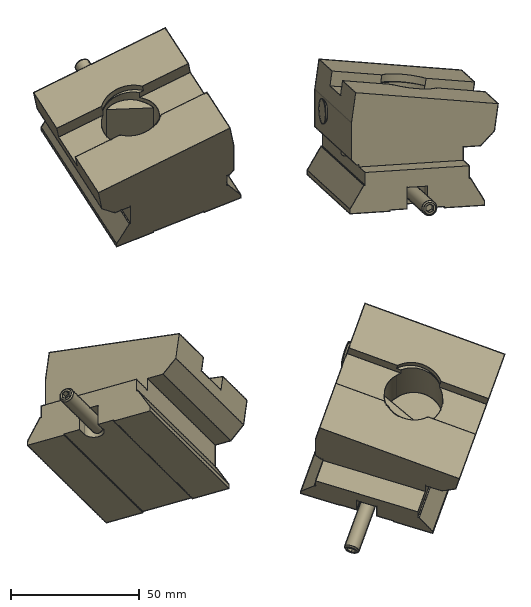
import cadquery as cq
import math


TOTAL_LENGTH = 84.0
RIGHT_END = TOTAL_LENGTH / 2

BASE_LENGTH = 65.1
BASE_WIDTH = 54.1
BASE_HEIGHT = 16.2
NECK_WIDTH = 41.9
FOOT_HEIGHT = 1.85
SHOULDER_HEIGHT = 11.1
SHOULDER_WIDTH = 43.0
RELIEF_WIDTH = 21.8
RELIEF_DEPTH = 0.5
BASE_LEFT = RIGHT_END - BASE_LENGTH

BLOCK_LENGTH = 55.95
BLOCK_CENTER_X = RIGHT_END - BLOCK_LENGTH / 2
PEAK_Y = 22.35
PEAK_Z = 46.0
SLOPE_ANGLE = 8.0
SLOPE = math.radians(SLOPE_ANGLE)
TOP_LENGTH = 57.9
FRONT_FACE_LENGTH = 10.9
FRONT_BEVEL = 5.6
BACK_Y = 24.0
BACK_BOTTOM_Z = 17.05
BACK_CHAMFER = 2.0

GROOVE_WIDTH = 16.0
GROOVE_DEPTH = 6.0
COUNTERBORE_DIAMETER = 24.0
COUNTERBORE_DEPTH = 3.0
COUNTERBORE_SHIFT = 0.25
BORE_DIAMETER = 22.5
BORE_Y = -7.0
BACK_BORE_DIAMETER = 20.0
BACK_BORE_SHIFT = 1.6
SHELF_Z = 34.95
SHELF_ANGLE = 66.0
SHELF_CHORD_OFFSET = 6.7

SCREW_DIAMETER = 6.0
SCREW_Z = 5.0
SCREW_CHAMFER = 0.6
SOCKET_ACROSS_CORNERS = 3.45
SOCKET_DEPTH = 2.5
SOCKET_SIDES = 6
SOCKET_ROTATION = 30.0
NOTCH_WIDTH = 8.15
NOTCH_HEIGHT = 9.15
NOTCH_STRAIGHT = 4.0

BACK_FITTING_OFFSET = 12.4
HEAD_DIAMETER = 10.0
HEAD_Z = 29.0
HEAD_PROTRUSION = 1.2
HEAD_TAPER = 0.8
BALL_RADIUS = 1.5
BALL_PROTRUSION = 0.1

OVERCUT = 4.2


def extrude_along_x(points, x_start, length):
    """Extrude a (Y, Z) outline in +X from x_start."""
    return cq.Workplane("YZ", origin=(x_start, 0, 0)).polyline(points).close().extrude(length)


def dovetail_base():
    half_outline = [
        (RELIEF_WIDTH / 2, RELIEF_DEPTH),
        (RELIEF_WIDTH / 2, 0),
        (BASE_WIDTH / 2, 0),
        (BASE_WIDTH / 2, FOOT_HEIGHT),
        (SHOULDER_WIDTH / 2, SHOULDER_HEIGHT),
        (NECK_WIDTH / 2, SHOULDER_HEIGHT),
        (NECK_WIDTH / 2, BASE_HEIGHT),
    ]
    mirrored = [(-y, z) for y, z in reversed(half_outline)]
    return extrude_along_x(half_outline + mirrored, BASE_LEFT, BASE_LENGTH)


def wedge_block():
    front_top_y = PEAK_Y - TOP_LENGTH * math.cos(SLOPE)
    front_top_z = PEAK_Z - TOP_LENGTH * math.sin(SLOPE)
    front_low_y = front_top_y + FRONT_FACE_LENGTH * math.sin(SLOPE)
    front_low_z = front_top_z - FRONT_FACE_LENGTH * math.cos(SLOPE)
    overhang_z = front_low_z - FRONT_BEVEL
    back_bend_z = PEAK_Z - (BACK_Y - PEAK_Y) / math.tan(SLOPE)
    outline = [
        (PEAK_Y, PEAK_Z),
        (front_top_y, front_top_z),
        (front_low_y, front_low_z),
        (front_low_y + FRONT_BEVEL, overhang_z),
        (-NECK_WIDTH / 2, overhang_z),
        (-NECK_WIDTH / 2, BASE_HEIGHT),
        (NECK_WIDTH / 2, BASE_HEIGHT),
        (NECK_WIDTH / 2, BACK_BOTTOM_Z),
        (BACK_Y - BACK_CHAMFER, BACK_BOTTOM_Z),
        (BACK_Y, BACK_BOTTOM_Z + BACK_CHAMFER),
        (BACK_Y, back_bend_z),
    ]
    return extrude_along_x(outline, RIGHT_END - BLOCK_LENGTH, BLOCK_LENGTH)


def top_plane():
    """Plane on the middle of the sloping top, its normal pointing out of the block."""
    center_y = PEAK_Y - TOP_LENGTH / 2 * math.cos(SLOPE)
    center_z = PEAK_Z - TOP_LENGTH / 2 * math.sin(SLOPE)
    normal = (0, -math.sin(SLOPE), math.cos(SLOPE))
    return cq.Plane(origin=(BLOCK_CENTER_X, center_y, center_z), xDir=(1, 0, 0), normal=normal)


def groove():
    groove_length = TOP_LENGTH + 2 * OVERCUT
    return cq.Workplane(top_plane()).rect(GROOVE_WIDTH, groove_length).extrude(-GROOVE_DEPTH)


def counterbore():
    plane = cq.Workplane(top_plane()).center(0, -COUNTERBORE_SHIFT)
    return plane.circle(COUNTERBORE_DIAMETER / 2).extrude(-COUNTERBORE_DEPTH)


def bore():
    """Vertical bore down to the base, widened at the back by a smaller overlapping bore.

    A raised shelf with a straight edge is left standing on one side.
    """
    depth = PEAK_Z - BASE_HEIGHT
    plane = cq.Workplane("XY", origin=(BLOCK_CENTER_X, BORE_Y, BASE_HEIGHT))
    main_hole = plane.circle(BORE_DIAMETER / 2).extrude(depth)
    back_hole = plane.center(0, BACK_BORE_SHIFT).circle(BACK_BORE_DIAMETER / 2).extrude(depth)
    shelf = (
        plane.transformed(rotate=(0, 0, SHELF_ANGLE))
        .center(0, SHELF_CHORD_OFFSET + BORE_DIAMETER / 2)
        .rect(2 * BORE_DIAMETER, BORE_DIAMETER)
        .extrude(SHELF_Z - BASE_HEIGHT)
    )
    return main_hole.union(back_hole).cut(shelf)


def screw_notch():
    """Round-ended notch opening through the left end and the underside."""
    radius = NOTCH_WIDTH / 2
    center_x = BASE_LEFT + NOTCH_STRAIGHT
    straight = (
        cq.Workplane("XY", origin=(BASE_LEFT, 0, 0))
        .box(NOTCH_STRAIGHT, NOTCH_WIDTH, NOTCH_HEIGHT, centered=(False, True, False))
    )
    round_end = cq.Workplane("XY").center(center_x, 0).circle(radius).extrude(NOTCH_HEIGHT)
    return straight.union(round_end)


def screw():
    tip_x = -TOTAL_LENGTH / 2
    inner_end_x = BASE_LEFT + NOTCH_STRAIGHT + NOTCH_WIDTH
    shank = (
        cq.Workplane("YZ", origin=(tip_x, 0, SCREW_Z))
        .circle(SCREW_DIAMETER / 2)
        .extrude(inner_end_x - tip_x)
        .faces("<X")
        .chamfer(SCREW_CHAMFER)
    )
    socket = (
        cq.Workplane("YZ", origin=(tip_x, 0, SCREW_Z))
        .transformed(rotate=(0, 0, SOCKET_ROTATION))
        .polygon(SOCKET_SIDES, SOCKET_ACROSS_CORNERS)
        .extrude(SOCKET_DEPTH)
    )
    return shank.cut(socket)


def bolt_head():
    """Head standing on the back face, tapering in towards that face."""
    center = (BLOCK_CENTER_X + BACK_FITTING_OFFSET, BACK_Y + HEAD_PROTRUSION, HEAD_Z)
    return (
        cq.Workplane("XZ", origin=center)
        .circle(HEAD_DIAMETER / 2)
        .extrude(HEAD_PROTRUSION)
        .faces("<Y")
        .chamfer(HEAD_TAPER)
    )


def ball():
    """Ball showing through the chamfered lower back edge."""
    center = (
        BLOCK_CENTER_X - BACK_FITTING_OFFSET,
        BACK_Y + BALL_PROTRUSION - BALL_RADIUS,
        BACK_BOTTOM_Z - BALL_PROTRUSION + BALL_RADIUS,
    )
    return cq.Workplane("XY").sphere(BALL_RADIUS).translate(center)


body = dovetail_base().union(wedge_block())
body = body.cut(groove()).cut(counterbore()).cut(bore()).cut(screw_notch())
result = body.union(screw()).union(bolt_head()).union(ball())